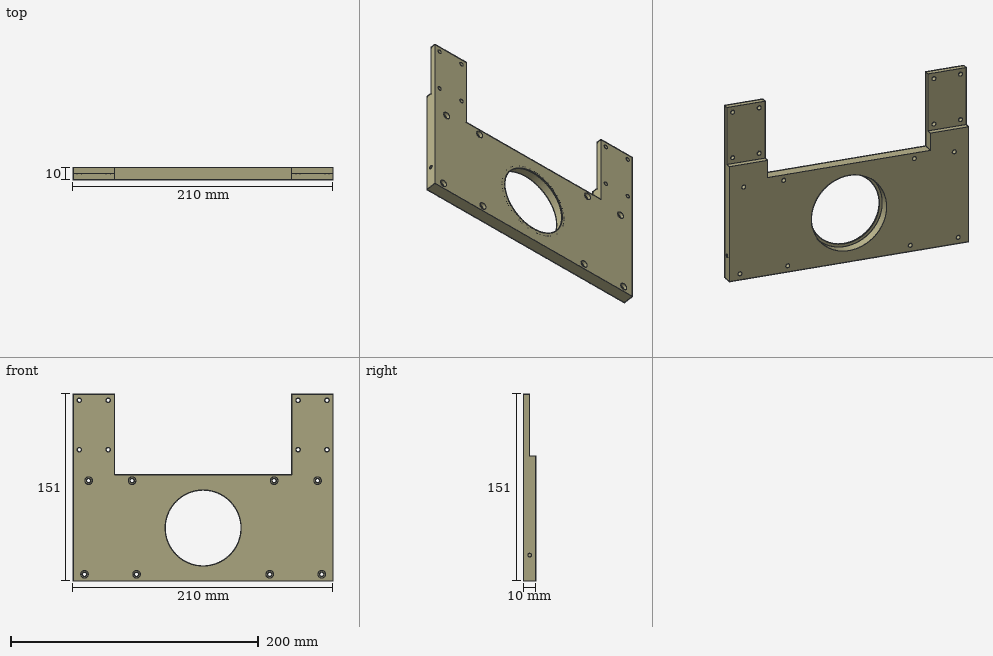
import cadquery as cq

WIDTH = 210.0
THICKNESS = 10.0
HEIGHT = 151.0

ARM_WIDTH = 33.5
ARM_HEIGHT = 65.0
THIN_HEIGHT = 50.0
THIN_THICKNESS = THICKNESS / 2

BORE_DIAMETER = 61.1
BORE_Z = 42.8
LIP_THICKNESS = 1.0
RECESS_DIAMETER = 66.0

ARM_HOLE_DIAMETER = 3.4
ARM_HOLE_INSETS = (5.0, 28.4)
ARM_HOLE_DROPS = (5.0, 45.0)

SCREW_DIAMETER = 3.4
COUNTERBORE_DIAMETER = 6.0
COUNTERBORE_DEPTH = 3.4
UPPER_SCREW_INSETS = (12.5, 47.7)
UPPER_SCREW_Z = 81.0
LOWER_SCREW_INSETS = (9.2, 51.2)
LOWER_SCREW_Z = 5.5

EDGE_HOLE_DIAMETER = 3.0
EDGE_HOLE_DEPTH = 10.5
EDGE_HOLE_Z = 21.0


def corner_box(size_x, size_y, size_z, corner):
    """Box extending in +X, +Y and +Z from the given corner."""
    return cq.Workplane("XY").box(size_x, size_y, size_z, centered=False).translate(corner)


def front_hole(x, z, diameter, depth):
    """Cylinder starting at the front face and running along +Y."""
    return cq.Workplane(cq.Solid.makeCylinder(
        diameter / 2, depth, cq.Vector(x, 0, z), cq.Vector(0, 1, 0)))


def mirrored_positions(insets):
    """X positions at the given insets from both outer sides."""
    return [x for inset in insets for x in (inset, WIDTH - inset)]


plate = corner_box(WIDTH, THICKNESS, HEIGHT, (0, 0, 0))
gap = corner_box(WIDTH - 2 * ARM_WIDTH, THICKNESS, ARM_HEIGHT, (ARM_WIDTH, 0, HEIGHT - ARM_HEIGHT))
rebate = corner_box(
    WIDTH, THICKNESS - THIN_THICKNESS, THIN_HEIGHT, (0, THIN_THICKNESS, HEIGHT - THIN_HEIGHT))
plate = plate.cut(gap).cut(rebate)

plate = plate.cut(front_hole(WIDTH / 2, BORE_Z, BORE_DIAMETER, THICKNESS))
recess = front_hole(WIDTH / 2, BORE_Z, RECESS_DIAMETER, THICKNESS - LIP_THICKNESS)
plate = plate.cut(recess.translate((0, LIP_THICKNESS, 0)))

for hole_x in mirrored_positions(ARM_HOLE_INSETS):
    for drop in ARM_HOLE_DROPS:
        plate = plate.cut(front_hole(hole_x, HEIGHT - drop, ARM_HOLE_DIAMETER, THICKNESS))

for insets, row_z in ((UPPER_SCREW_INSETS, UPPER_SCREW_Z), (LOWER_SCREW_INSETS, LOWER_SCREW_Z)):
    for screw_x in mirrored_positions(insets):
        plate = plate.cut(front_hole(screw_x, row_z, SCREW_DIAMETER, THICKNESS))
        plate = plate.cut(front_hole(screw_x, row_z, COUNTERBORE_DIAMETER, COUNTERBORE_DEPTH))

for side_x, direction in ((0, 1), (WIDTH, -1)):
    edge_hole = cq.Solid.makeCylinder(
        EDGE_HOLE_DIAMETER / 2, EDGE_HOLE_DEPTH,
        cq.Vector(side_x, THICKNESS / 2, EDGE_HOLE_Z), cq.Vector(direction, 0, 0))
    plate = plate.cut(cq.Workplane(edge_hole))

result = plate